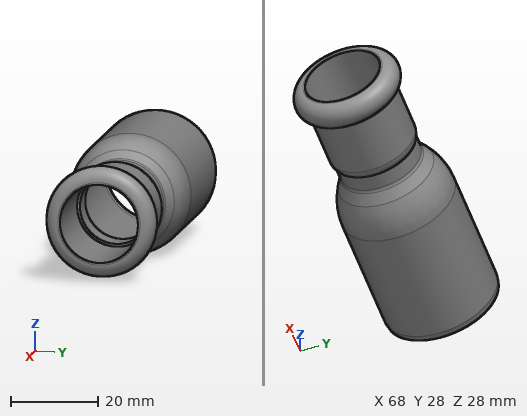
import cadquery as cq
import math

length = 68.0
wall = 1.5

spigot_radius = 28.0 / 2
lip_length = 1.5
lip_draw_in = 0.3
spigot_end = 30.2

cone_angle = math.radians(30)
shoulder_arc_radius = 16.85
neck_arc_radius = 1.6

neck_radius = 20.0 / 2
neck_end = 46.0
socket_radius = 21.3 / 2
socket_start = 48.0
socket_bore_radius = 18.3 / 2

bead_radius = 3.25
bead_outer_radius = 12.9
bead_x = length - bead_radius
bead_ring_radius = bead_outer_radius - bead_radius


def arc_point(center, radius, angle):
    """Point on an arc, with the angle measured from the +radial direction towards +X."""
    return (center[0] + radius * math.sin(angle), center[1] + radius * math.cos(angle))


shoulder_center = (spigot_end, spigot_radius - shoulder_arc_radius)
cone_drop = (
    spigot_radius - neck_radius
    - (shoulder_arc_radius + neck_arc_radius) * (1 - math.cos(cone_angle))
)
neck_start = (
    spigot_end
    + (shoulder_arc_radius + neck_arc_radius) * math.sin(cone_angle)
    + cone_drop / math.tan(cone_angle)
)
neck_center = (neck_start, neck_radius + neck_arc_radius)


def reducing_profile(inset):
    """Open profile from the spigot end to the neck, set inwards from the outer surface."""
    convex = shoulder_arc_radius - inset
    concave = -(neck_arc_radius + inset)
    return (
        cq.Workplane("XY")
        .moveTo(0, 0)
        .lineTo(0, spigot_radius - lip_draw_in - inset)
        .lineTo(lip_length, spigot_radius - inset)
        .lineTo(spigot_end, spigot_radius - inset)
        .threePointArc(
            arc_point(shoulder_center, convex, cone_angle / 2),
            arc_point(shoulder_center, convex, cone_angle),
        )
        .lineTo(*arc_point(neck_center, concave, cone_angle))
        .threePointArc(
            arc_point(neck_center, concave, cone_angle / 2),
            arc_point(neck_center, concave, 0),
        )
    )


def revolve_about_x(profile):
    return profile.close().revolve(360, (0, 0, 0), (1, 0, 0))


def outer_body():
    step_length = socket_start - neck_end
    step_height = socket_radius - neck_radius
    step_arc_radius = (step_length**2 + step_height**2) / (2 * step_height)
    step_center = (socket_start, socket_radius - step_arc_radius)
    step_angle = math.asin(step_length / step_arc_radius)
    profile = (
        reducing_profile(0)
        .lineTo(neck_end, neck_radius)
        .threePointArc(
            arc_point(step_center, step_arc_radius, -step_angle / 2),
            (socket_start, socket_radius),
        )
        .lineTo(bead_x, socket_radius)
        .lineTo(bead_x, 0)
    )
    return revolve_about_x(profile)


def bead():
    profile = (
        cq.Workplane("XY")
        .moveTo(bead_x - bead_radius, 0)
        .lineTo(bead_x - bead_radius, bead_ring_radius)
        .threePointArc((bead_x, bead_outer_radius), (length, bead_ring_radius))
        .lineTo(length, 0)
    )
    return revolve_about_x(profile)


def bore():
    profile = (
        reducing_profile(wall)
        .lineTo(socket_start, neck_radius - wall)
        .lineTo(socket_start, socket_bore_radius)
        .lineTo(length, socket_bore_radius)
        .lineTo(length, 0)
    )
    return revolve_about_x(profile)


result = outer_body().union(bead()).cut(bore())